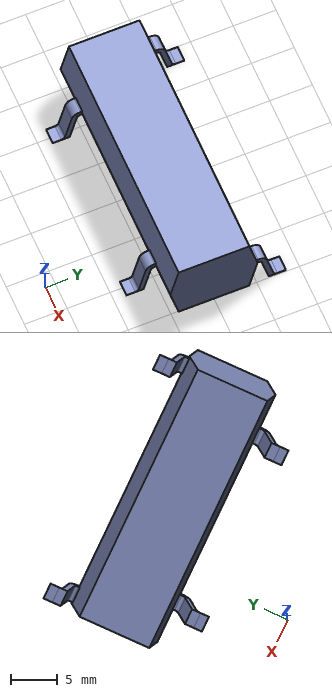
import cadquery as cq
import math

body_length = 30.2
body_height = 8.7
body_mid_width = 10.2
body_end_width = 8.25

lead_span = 17.0
lead_width = 1.8
lead_thickness = 0.63
lead_top = 4.65
shoulder_offset = 5.22
shoulder_radius = 1.1
toe_radius = 0.45
foot_thickness = 0.1
root_depth = 0.3
front_pitch = 20.32
back_pitch = 27.97

lean = math.atan((body_mid_width - body_end_width) / body_height)


def arc_point(center, radius, angle):
    """Point on a circle in the YZ plane, with the angle measured from +Y."""
    return (center[0] + radius * math.cos(angle), center[1] + radius * math.sin(angle))


def make_body():
    mid_y = body_mid_width / 2
    end_y = body_end_width / 2
    outline = [
        (-end_y, 0),
        (end_y, 0),
        (mid_y, body_height / 2),
        (end_y, body_height),
        (-end_y, body_height),
        (-mid_y, body_height / 2),
    ]
    return cq.Workplane("YZ").polyline(outline).close().extrude(body_length / 2, both=True)


def make_back_lead(x_center):
    """Lead on the +Y side: flat root, rounded shoulder, sloping leg, thin flat foot."""
    shoulder = (shoulder_offset, lead_top - shoulder_radius)
    inner_radius = shoulder_radius - lead_thickness
    shoulder_mid = (lean + math.pi / 2) / 2
    outer_bend = arc_point(shoulder, shoulder_radius, lean)
    inner_bend = arc_point(shoulder, inner_radius, lean)
    heel = (inner_bend[0] + inner_bend[1] * math.tan(lean), 0)

    toe_z = foot_thickness + toe_radius
    toe_y = (
        shoulder[0]
        + (shoulder_radius + toe_radius) / math.cos(lean)
        + (shoulder[1] - toe_z) * math.tan(lean)
    )
    toe = (toe_y, toe_z)
    toe_mid = (math.pi + lean + 3 * math.pi / 2) / 2

    root_y = body_mid_width / 2 - root_depth
    return (
        cq.Workplane("YZ", origin=(x_center, 0, 0))
        .moveTo(root_y, lead_top)
        .lineTo(shoulder[0], lead_top)
        .threePointArc(arc_point(shoulder, shoulder_radius, shoulder_mid), outer_bend)
        .lineTo(*arc_point(toe, toe_radius, math.pi + lean))
        .threePointArc(arc_point(toe, toe_radius, toe_mid), (toe_y, foot_thickness))
        .lineTo(lead_span / 2, foot_thickness)
        .lineTo(lead_span / 2, 0)
        .lineTo(*heel)
        .lineTo(*inner_bend)
        .threePointArc(
            arc_point(shoulder, inner_radius, shoulder_mid),
            (shoulder[0], lead_top - lead_thickness),
        )
        .lineTo(root_y, lead_top - lead_thickness)
        .close()
        .extrude(lead_width / 2, both=True)
    )


result = make_body()
for side in (-1, 1):
    result = result.union(make_back_lead(side * back_pitch / 2))
    result = result.union(make_back_lead(side * front_pitch / 2).mirror("XZ"))